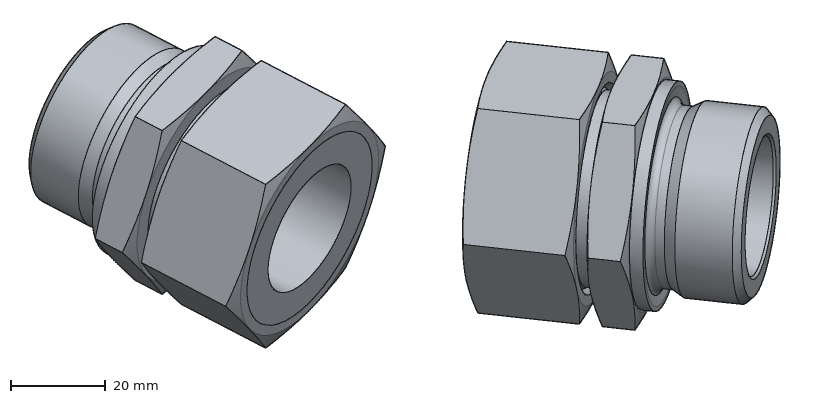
import cadquery as cq
import math

overall_length = 59.0
across_flats = 50.0
bore_radius = 15.0
union_thread_radius = 22.6

hex_chamfer_angle = 15.0
hex_face_radius = 24.95

thread_end = 14.0
groove_start = 16.6
flange_start = 20.1
stud_hex_start = 23.0
stud_hex_end = 32.1
nut_start = 35.0
neck_end = 35.45

thread_radius = 21.0
thread_chamfer = 1.6
bore_chamfer = 0.55
groove_radius = 19.5
flange_radius = 24.5
neck_radius = 21.0
thread_lead_angle = 30.0

recess_rim_radius = 23.5
recess_angle = 8.0
recess_fillet = 1.8


def revolve_about_axis(profile):
    """Turn a profile of (axial, radial) coordinates into a solid of revolution about X."""
    return profile.close().revolve(360, (0, 0, 0), (1, 0, 0))


def make_hexagon(start, end):
    """Hexagonal prism along X, flats up and down, with conical chamfers at both ends."""
    corner_radius = across_flats / math.sqrt(3)
    prism = (
        cq.Workplane("YZ")
        .workplane(offset=start)
        .polygon(6, 2 * corner_radius)
        .extrude(end - start)
    )
    chamfer_depth = (corner_radius - hex_face_radius) * math.tan(math.radians(hex_chamfer_angle))
    envelope = revolve_about_axis(
        cq.Workplane("XY")
        .moveTo(start, 0)
        .lineTo(start, hex_face_radius)
        .lineTo(start + chamfer_depth, corner_radius)
        .lineTo(end - chamfer_depth, corner_radius)
        .lineTo(end, hex_face_radius)
        .lineTo(end, 0)
    )
    return prism.intersect(envelope)


def make_stud():
    """Threaded stud with a relief groove, a flange, a hexagon, a neck and a union thread."""
    tilt = math.radians(recess_angle)
    recess_root_radius = groove_radius + recess_fillet * (1 - math.sin(tilt))
    recess_root = flange_start + (recess_rim_radius - recess_root_radius) * math.tan(tilt)
    groove_end = recess_root - recess_fillet * math.cos(tilt)
    lead_length = (union_thread_radius - neck_radius) / math.tan(math.radians(thread_lead_angle))
    turned = revolve_about_axis(
        cq.Workplane("XY")
        .moveTo(0, bore_radius + bore_chamfer)
        .lineTo(0, thread_radius - thread_chamfer)
        .lineTo(thread_chamfer, thread_radius)
        .lineTo(thread_end, thread_radius)
        .lineTo(groove_start, groove_radius)
        .lineTo(groove_end, groove_radius)
        .tangentArcPoint((recess_root, recess_root_radius), relative=False)
        .lineTo(flange_start, recess_rim_radius)
        .lineTo(flange_start, flange_radius)
        .lineTo(stud_hex_start, flange_radius)
        .lineTo(stud_hex_start, neck_radius)
        .lineTo(neck_end, neck_radius)
        .lineTo(neck_end + lead_length, union_thread_radius)
        .lineTo(overall_length, union_thread_radius)
        .lineTo(overall_length, bore_radius)
        .lineTo(bore_chamfer, bore_radius)
    )
    bore = cq.Workplane("YZ").circle(bore_radius).extrude(overall_length)
    return turned.union(make_hexagon(stud_hex_start, stud_hex_end)).cut(bore)


def make_nut():
    """Hexagonal union nut, bored to fit over the union thread of the stud."""
    thread_hole = cq.Workplane("YZ").circle(union_thread_radius).extrude(overall_length)
    return make_hexagon(nut_start, overall_length).cut(thread_hole)


stud = make_stud()
nut = make_nut()

result = cq.Compound.makeCompound([stud.val(), nut.val()])